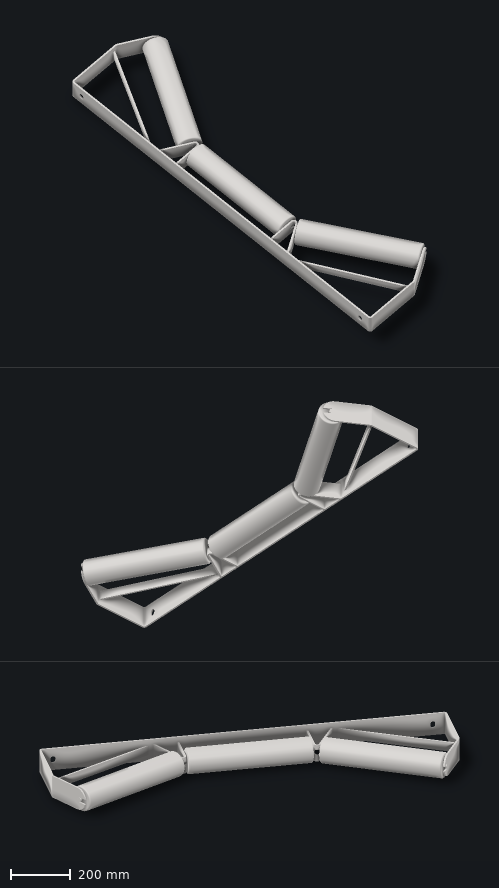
import cadquery as cq
import math

frame_length = 1400.0
bar_height = 80.0
bar_thickness = 6.3
corner_radius = 10.0
side_height = 214.0
arm_length = 165.0
trough_angle = 30.0

mount_slot_x = 652.0
mount_slot_z = -1.0
mount_slot_width = 18.0
mount_slot_height = 24.0

roller_diameter = 90.0
roller_length = 430.0
roller_edge_radius = 4.9
axle_diameter = 18.0
middle_axis_y = 100.0
middle_axis_z = -7.0
side_center_x = 438.0
side_center_y = 218.0
side_center_z = -4.0
side_tilt = 0.8
side_roller_gap = 3.5
slot_overrun = 7.0

bracket_face_x = 218.0
bracket_foot_x = 308.0
fold_radius = 13.0
bracket_height = 60.0

brace_height = 34.0
brace_top_y = 205.0
brace_foot_x = 325.0

half_length = frame_length / 2
slope = math.radians(trough_angle)
arm_reach = arm_length * math.sin(slope)
arm_rise = arm_length * math.cos(slope)


def shift_left(start, end, distance):
    """Move the segment start-end sideways to its left."""
    run = end[0] - start[0]
    rise = end[1] - start[1]
    length = math.hypot(run, rise)
    dx = -rise / length * distance
    dy = run / length * distance
    return (start[0] + dx, start[1] + dy), (end[0] + dx, end[1] + dy)


def meet(first, second):
    """Point where the lines through two segments cross."""
    (ax, ay), (bx, by) = first
    (cx, cy), (dx, dy) = second
    ux, uy = bx - ax, by - ay
    vx, vy = dx - cx, dy - cy
    along = ((cx - ax) * vy - (cy - ay) * vx) / (ux * vy - uy * vx)
    return ax + along * ux, ay + along * uy


def bent_bar(outer_points, height, outer_radius):
    """Bar on edge along outer_points, thickened to the left and rounded at its bends."""
    segments = list(zip(outer_points, outer_points[1:]))
    inner = [shift_left(start, end, bar_thickness) for start, end in segments]
    corners = [meet(a, b) for a, b in zip(inner, inner[1:])]
    inner_points = [inner[0][0], *corners, inner[-1][1]]
    bar = (
        cq.Workplane("XY", origin=(0, 0, -height / 2))
        .polyline(outer_points + inner_points[::-1])
        .close()
        .extrude(height)
    )
    for points, radius in (
        (outer_points[1:-1], outer_radius),
        (corners, outer_radius - bar_thickness),
    ):
        for x, y in points:
            bar = bar.edges(cq.selectors.NearestToPointSelector((x, y, 0))).fillet(radius)
    return bar


def mirrored(body):
    return body.mirror("YZ")


def place_on_right(body):
    """Move a body from the roller's own axes (axle along X) to the right-hand side roller."""
    return (
        body.rotate((0, 0, 0), (0, 1, 0), -side_tilt)
        .rotate((0, 0, 0), (0, 0, 1), trough_angle)
        .translate((side_center_x, side_center_y, side_center_z))
    )


def place_in_middle(body):
    return body.translate((0, middle_axis_y, middle_axis_z))


def x_cylinder(diameter, length):
    return cq.Workplane("YZ", origin=(-length / 2, 0, 0)).circle(diameter / 2).extrude(length)


def make_roller(axle_length):
    shell = x_cylinder(roller_diameter, roller_length).faces("<X or >X").edges().fillet(roller_edge_radius)
    return shell.union(x_cylinder(axle_diameter, axle_length))


def make_slot_cutter(axle_length):
    """Axle-wide groove, round at the bottom and open upwards."""
    length = axle_length + 2 * slot_overrun
    opening = cq.Workplane("XY").box(length, roller_diameter, axle_diameter, centered=(True, False, True))
    return x_cylinder(axle_diameter, length).union(opening)


middle_axle_length = 2 * (bracket_face_x + bar_thickness)
side_axle_length = roller_length + 2 * (side_roller_gap + bar_thickness)
side_cutter = place_on_right(make_slot_cutter(side_axle_length))
middle_cutter = place_in_middle(make_slot_cutter(middle_axle_length))


def make_frame():
    right = [
        (half_length, 0),
        (half_length, side_height),
        (half_length - arm_reach, side_height + arm_rise),
    ]
    left = [(-x, y) for x, y in reversed(right)]
    frame = bent_bar(left + right, bar_height, corner_radius)
    return cut_mounting_slots(cut_axle_slots(round_arm_tips(frame)))


def round_arm_tips(frame):
    tip_center = arm_length - bar_height / 2
    tip = (
        cq.Workplane("YZ")
        .moveTo(tip_center, -bar_height)
        .lineTo(tip_center + bar_height, -bar_height)
        .lineTo(tip_center + bar_height, bar_height)
        .lineTo(tip_center, bar_height)
        .lineTo(tip_center, bar_height / 2)
        .threePointArc((arm_length, 0), (tip_center, -bar_height / 2))
        .close()
        .extrude(bar_height, both=True)
        .rotate((0, 0, 0), (0, 0, 1), trough_angle)
        .translate((half_length, side_height, 0))
    )
    return frame.cut(tip).cut(mirrored(tip))


def cut_axle_slots(frame):
    return frame.cut(side_cutter).cut(mirrored(side_cutter))


def cut_mounting_slots(frame):
    mounts = (
        cq.Workplane("XZ")
        .pushPoints([(-mount_slot_x, mount_slot_z), (mount_slot_x, mount_slot_z)])
        .slot2D(mount_slot_height, mount_slot_width, 90)
        .extrude(bar_thickness * 2, both=True)
    )
    return frame.cut(mounts)


def make_bracket():
    foot = (bracket_foot_x, bar_thickness)
    apex_rise = (bracket_foot_x - bracket_face_x) / math.tan(slope)
    apex = (bracket_face_x, bar_thickness + apex_rise)
    bracket = bent_bar([foot, apex, (bracket_face_x, bar_thickness)], bracket_height, fold_radius)
    bracket = bracket.translate((0, 0, (bracket_height - bar_height) / 2))
    base = cq.Workplane("XY").box(frame_length, bar_thickness, bar_height, centered=(True, False, True))
    return bracket.cut(base).cut(side_cutter).cut(middle_cutter)


def make_brace():
    x_out = half_length - bar_thickness
    rise = brace_top_y - bar_thickness
    angle = math.atan2(rise, x_out - brace_foot_x)
    return (
        cq.Workplane("XY", origin=(0, 0, -brace_height / 2))
        .polyline(
            [
                (brace_foot_x, bar_thickness),
                (x_out, brace_top_y),
                (x_out, brace_top_y - bar_thickness / math.cos(angle)),
                (brace_foot_x + bar_thickness / math.sin(angle), bar_thickness),
            ]
        )
        .close()
        .extrude(brace_height)
    )


frame = make_frame()
bracket = make_bracket()
brace = make_brace()
middle_roller = place_in_middle(make_roller(middle_axle_length))
side_roller = place_on_right(make_roller(side_axle_length))

bodies = [frame, middle_roller]
for body in (bracket, brace, side_roller):
    bodies += [body, mirrored(body)]

result = cq.Compound.makeCompound([body.val() for body in bodies])